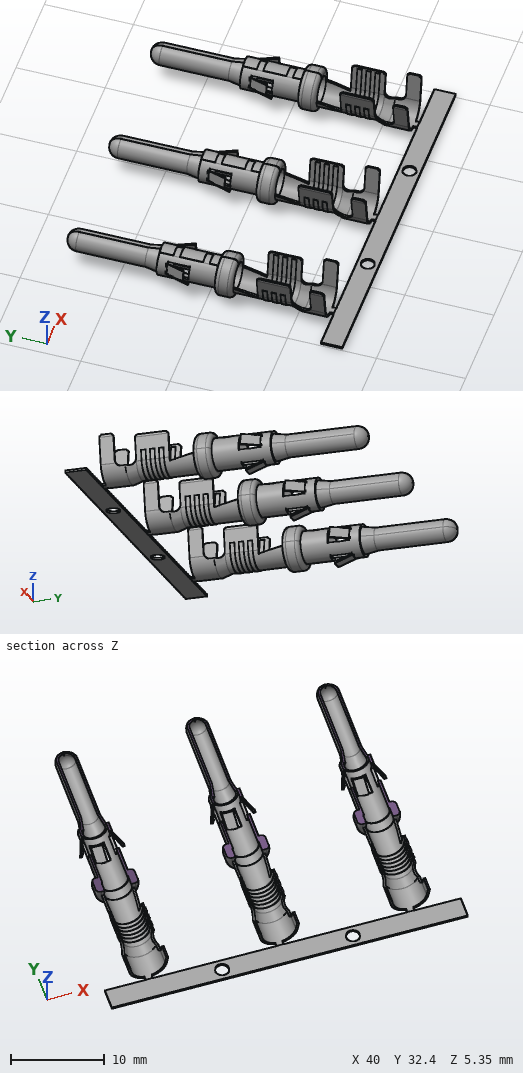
import cadquery as cq
import math


sheet = 0.25
strip_length = 40.0
strip_width = 2.4
contact_count = 3
contact_pitch = 14.7
strip_overhang = 4.98
pilot_diameter = 1.5
pilot_offset = 7.8

tail_end = 2.83
insulation_wing_front = 4.42
insulation_front = 5.58
wire_rear = 6.73
wire_front = 10.49
flange_rear = 13.26
flange_length = 2.0
flange_front = flange_rear + flange_length
barrel_front = 21.89
pin_rear = 23.34
tip_end = 32.38

pin_radius = 1.25
neck_radius = 1.5
barrel_radius = 1.79
flange_radius = 2.45
flange_fillet = 0.5
flange_bore_radius = 1.55
flange_bore_depth = 1.2
seam_gap = 0.06

lap_x = -0.68
lap_radius = 1.72
barrel_side = 1.75
bore_radius = lap_radius - sheet
lap_slot_end = 0.82
lap_slot_width = 0.73
lap_slot_centres = (16.62, 19.945)

window_front = 20.74
window_rear = 18.28
window_width = 1.62
latch_tip = 18.72
latch_width = 1.26
latch_root_radius = 1.72
latch_reach = flange_radius
latch_root_overlap = 0.15
latch_angles = (-103, 0, 103)

wire_radius = 1.84
wing_lean = 9.3
wire_top = 2.6
insulation_radius = 2.17
insulation_top = 5.35 - flange_radius
tab_width = 0.8
insulation_bottom = -2.19
trough_edge_front = -0.14
trough_edge = -0.71
scoop_radius = 0.73
tip_bevel = 0.27
tip_corner = 0.3
tip_thickness = 0.2

serration_count = 3
serration_pitch = 1.01
serration_width = 0.52
serration_first = 9.635
serration_depth = 0.06
rib_top = 0.8

strip_bottom = insulation_bottom
across = 10.0


def block(x0, x1, y0, y1, z0, z1):
    """Box between two opposite corners."""
    return cq.Workplane("XY").box(x1 - x0, y1 - y0, z1 - z0, centered=False).translate((x0, y0, z0))


def section(y):
    """Workplane across the contact at y: local x is X, local y is Z, extruding towards -Y."""
    return cq.Workplane("XZ", origin=(0, y, 0))


def side():
    """Workplane along the contact: local x is Y, local y is Z."""
    return cq.Workplane("YZ")


def turned(profile):
    """Revolve a (radius, y) profile about the pin axis."""
    return profile.close().revolve(360, (0, 0, 0), (0, 1, 0))


def pin_front():
    """Hollow round-nosed pin with the cone that joins it to the barrel."""
    inner = pin_radius - sheet
    inner_neck = neck_radius - sheet
    dome_base = tip_end - pin_radius
    slant = math.sin(math.radians(45))
    profile = (
        cq.Workplane("XY")
        .moveTo(0, tip_end)
        .threePointArc((pin_radius * slant, dome_base + pin_radius * slant), (pin_radius, dome_base))
        .lineTo(pin_radius, pin_rear)
        .lineTo(neck_radius, barrel_front)
        .lineTo(bore_radius, barrel_front)
        .lineTo(bore_radius, barrel_front - sheet)
        .lineTo(inner_neck, barrel_front - sheet)
        .lineTo(inner, pin_rear)
        .lineTo(inner, dome_base)
        .threePointArc((inner * slant, dome_base + inner * slant), (0, dome_base + inner))
    )
    return turned(profile)


def flange():
    outer = section(flange_front).circle(flange_radius).extrude(flange_length)
    outer = outer.edges().fillet(flange_fillet)
    bore = section(flange_front).circle(bore_radius).extrude(flange_length)
    rear_bore = section(flange_rear + flange_bore_depth).circle(flange_bore_radius)
    return outer.cut(bore).cut(rear_bore.extrude(flange_bore_depth))


def barrel():
    """Rolled barrel: its flap steps up from the sheet below it, with slots for two fingers."""
    length = barrel_front - flange_front
    step_low = (lap_x, math.sqrt(lap_radius**2 - lap_x**2))
    step_high = (lap_x, math.sqrt(barrel_radius**2 - lap_x**2))
    tube = (
        section(barrel_front)
        .moveTo(*step_low)
        .threePointArc((-barrel_side, 0), (0, -barrel_radius))
        .threePointArc((barrel_radius, 0), step_high)
        .close()
        .extrude(length)
        .cut(section(barrel_front).circle(bore_radius).extrude(length))
    )
    under_flap = section(barrel_front).circle(lap_radius).extrude(length)
    for centre in lap_slot_centres:
        rear = centre - lap_slot_width / 2
        slot = block(lap_x, lap_slot_end, rear, rear + lap_slot_width, 0, barrel_radius)
        tube = tube.cut(slot.cut(under_flap))
    return tube


def turn_latch(shape, angle):
    return shape.rotate((0, 0, 0), (0, 1, 0), angle)


def window(angle):
    half = window_width / 2
    cut = block(-half, half, window_rear, window_front, -flange_radius, -bore_radius / 2)
    return turn_latch(cut, angle)


def latch(angle):
    """Tongue bent outwards from the front edge of its window."""
    root = window_front + latch_root_overlap
    tongue = (
        side()
        .polyline([
            (root, -latch_root_radius),
            (window_front, -latch_root_radius),
            (latch_tip, -latch_reach),
            (latch_tip, -latch_reach + sheet),
            (window_front, -latch_root_radius + sheet / 2),
            (root, -latch_root_radius + sheet / 2),
        ])
        .close()
        .extrude(latch_width / 2, both=True)
    )
    return turn_latch(tongue, angle)


def crimp_outline(y, radius, bottom, top, wall=sheet):
    """U-shaped section at y: a round floor and two straight wings leaning outwards.

    The outside of the floor has the given radius and its lowest point at bottom. The wings reach
    up to top, where their outer edges are bevelled.
    """
    centre_z = bottom + radius
    inner = radius - wall
    lean = math.radians(wing_lean)
    wing = (top - centre_z + inner * math.sin(lean)) / math.cos(lean)

    def on_wing(r, along):
        x = r * math.cos(lean) + along * math.sin(lean)
        return x, centre_z - r * math.sin(lean) + along * math.cos(lean)

    def mirrored(point):
        return -point[0], point[1]

    outer_bend = on_wing(radius, 0)
    outer_tip = on_wing(radius, wing - tip_bevel)
    bevel_top = on_wing(inner + min(tip_thickness, wall), wing)
    inner_tip = on_wing(inner, wing)
    inner_bend = on_wing(inner, 0)
    return (
        section(y)
        .moveTo(*mirrored(outer_tip))
        .lineTo(*mirrored(outer_bend))
        .threePointArc((0, bottom), outer_bend)
        .lineTo(*outer_tip)
        .lineTo(*bevel_top)
        .lineTo(*inner_tip)
        .lineTo(*inner_bend)
        .threePointArc((0, bottom + wall), mirrored(inner_bend))
        .lineTo(*mirrored(inner_tip))
        .lineTo(*mirrored(bevel_top))
        .close()
    )


def wire_outline(y):
    return crimp_outline(y, wire_radius, -wire_radius, wire_top)


def insulation_outline(y):
    return crimp_outline(y, insulation_radius, insulation_bottom, insulation_top)


def transition():
    """Flared trough between the wire crimp and the insulation crimp."""
    ends = [wire_outline(wire_rear).val(), insulation_outline(insulation_front).val()]
    return cq.Workplane(cq.Solid.makeLoft(ends, True))


def tail_side_profile():
    """Side outline of the tail: sloping trough, wire wings, scoop and insulation wings."""
    low = insulation_bottom - sheet
    shoulder = trough_edge + scoop_radius
    dip = scoop_radius * (1 - math.sin(math.radians(45)))
    return (
        side()
        .moveTo(tail_end, low)
        .lineTo(flange_rear, low)
        .lineTo(flange_rear, trough_edge_front)
        .lineTo(wire_front, trough_edge)
        .lineTo(wire_front, wire_top - tip_bevel)
        .lineTo(wire_front - tip_corner, wire_top)
        .lineTo(wire_rear + tip_corner, wire_top)
        .lineTo(wire_rear, wire_top - tip_bevel)
        .lineTo(wire_rear, shoulder)
        .threePointArc((wire_rear - dip, trough_edge + dip), (wire_rear - scoop_radius, trough_edge))
        .lineTo(insulation_wing_front + scoop_radius, trough_edge)
        .threePointArc(
            (insulation_wing_front + dip, trough_edge + dip), (insulation_wing_front, shoulder)
        )
        .lineTo(insulation_wing_front, insulation_top - tip_bevel)
        .lineTo(insulation_wing_front - tip_corner, insulation_top)
        .lineTo(tail_end + tip_corner, insulation_top)
        .lineTo(tail_end, insulation_top - tip_bevel)
        .close()
    )


def layer(y, radius, top):
    """Thin U-shaped layer of the given outer radius, one serration long."""
    return crimp_outline(y, radius, -radius, top, 2 * serration_depth).extrude(serration_width)


def tail():
    body = wire_outline(flange_rear).extrude(flange_rear - wire_rear)
    body = body.union(insulation_outline(insulation_front).extrude(insulation_front - tail_end))
    body = body.union(transition())
    body = body.intersect(tail_side_profile().extrude(across / 2, both=True))
    for index in range(serration_count):
        front = serration_first + serration_width / 2 - index * serration_pitch
        groove = layer(front, wire_radius - sheet + serration_depth, wire_top - tip_bevel)
        rib = layer(front, wire_radius + serration_depth, rib_top)
        body = body.union(rib).cut(groove)
    return body


def tab():
    """Narrow strip of the insulation crimp's floor that holds the contact on the carrier."""
    half = tab_width / 2
    floor = insulation_outline(tail_end).extrude(tail_end - strip_width)
    return floor.intersect(block(-half, half, strip_width, tail_end, -across, 0))


def contact():
    body = barrel().union(flange()).union(pin_front())
    for angle in latch_angles:
        body = body.cut(window(angle)).union(latch(angle))
    half = seam_gap / 2
    body = body.cut(block(-half, half, barrel_front, tip_end, 0, across))
    body = body.cut(block(-half, half, flange_rear, flange_front, 0, across))
    return body.union(tail()).union(tab())


def carrier_strip():
    top = strip_bottom + sheet
    strip = block(-strip_overhang, strip_length - strip_overhang, 0, strip_width, strip_bottom, top)
    for index in range(contact_count - 1):
        hole = cq.Workplane("XY").circle(pilot_diameter / 2).extrude(sheet)
        x = index * contact_pitch + pilot_offset
        strip = strip.cut(hole.translate((x, strip_width / 2, strip_bottom)))
    return strip


one_contact = contact()
strip_with_contacts = carrier_strip()
for number in range(1, contact_count):
    strip_with_contacts = strip_with_contacts.union(one_contact.translate((number * contact_pitch, 0, 0)))
result = cq.Compound.makeCompound([strip_with_contacts.val(), one_contact.val()])